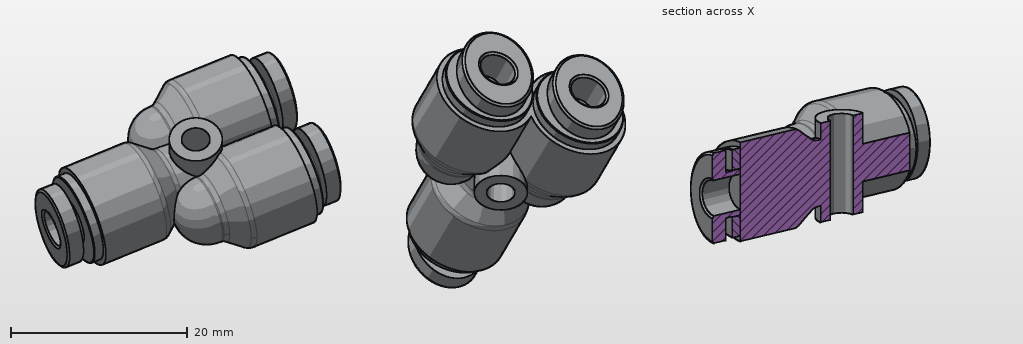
import cadquery as cq


overall_length = 32.0
branch_offset = 5.5
eyelet_y = 2.37

port_diameter = 11.9
port_radius = port_diameter / 2
neck_radius = 4.0
port_face_depth = 3.97
cone_start_depth = 12.0
cone_end_depth = 14.5
cone_blend_radius = 1.0
branch_end_depth = 15.0

eyelet_height = port_diameter
eyelet_diameter = 6.0
eyelet_bore_diameter = 3.2

collar_diameter = 10.6
collar_face_depth = 2.8
collar_chamfer = 0.1

flange_width = 8.65
flange_height = 10.85
flange_thickness = 1.95
flange_edge_depth = 0.2
flange_edge_inset = 0.3
stem_diameter = 5.5
bore_diameter = 4.2
bore_edge_depth = 0.2
bore_edge_inset = 0.3
stem_root_radius = 0.1


def cylinder_along_port(diameter, start_depth, end_depth):
    """Round bar on the port axis between two depths below the mouth."""
    return (
        cq.Workplane("XZ", origin=(0, -start_depth, 0))
        .circle(diameter / 2)
        .extrude(end_depth - start_depth)
    )


def place_at_ports(body):
    """Three copies of a port body: one for each branch and one for the inlet."""
    half_length = overall_length / 2
    copies = [body.translate((side * branch_offset, half_length, 0)) for side in (-1, 1)]
    inlet = body.rotate((0, 0, 0), (0, 0, 1), 180).translate((0, -half_length, 0))
    return copies + [inlet]


def make_port_shell(neck_end_depth):
    """Port barrel that tapers through a blended cone to a round neck."""
    profile = [
        (0, -port_face_depth),
        (port_radius, -port_face_depth),
        (port_radius, -cone_start_depth),
        (neck_radius, -cone_end_depth),
        (neck_radius, -neck_end_depth),
        (0, -neck_end_depth),
    ]
    shell = cq.Workplane("XY").polyline(profile).close().revolve(360, (0, 0, 0), (0, 1, 0))
    return shell.faces("%CONE").edges("%CIRCLE").fillet(cone_blend_radius)


def make_housing():
    """Two ball-ended branches and the inlet, joined around the mounting eyelet."""
    ball = cq.Workplane("XY").sphere(neck_radius).translate((0, -branch_end_depth, 0))
    branch = make_port_shell(branch_end_depth).union(ball)
    left_branch, right_branch, _ = place_at_ports(branch)

    inlet_neck_end = overall_length / 2 + eyelet_y
    inlet = place_at_ports(make_port_shell(inlet_neck_end))[-1]

    eyelet_plane = cq.Workplane("XY", origin=(0, eyelet_y, -eyelet_height / 2))
    eyelet = eyelet_plane.circle(eyelet_diameter / 2).extrude(eyelet_height)
    eyelet_bore = eyelet_plane.circle(eyelet_bore_diameter / 2).extrude(eyelet_height)

    return left_branch.union(right_branch).union(inlet).union(eyelet).cut(eyelet_bore)


def make_collar():
    """Ring on the port face that guides the stem of the release button."""
    ring = cylinder_along_port(collar_diameter, collar_face_depth, port_face_depth)
    ring = ring.faces(">Y").edges().chamfer(collar_chamfer)
    return ring.cut(cylinder_along_port(stem_diameter, collar_face_depth, port_face_depth))


def make_button():
    """Oval flange on a hollow stem that reaches the port face."""
    flange = (
        cq.Workplane("XZ")
        .ellipse(flange_width / 2, flange_height / 2)
        .extrude(flange_thickness)
        .faces(">Y")
        .edges()
        .chamfer(flange_edge_depth, flange_edge_inset)
    )
    stem = cylinder_along_port(stem_diameter, flange_thickness, port_face_depth)
    bore = cylinder_along_port(bore_diameter, 0, port_face_depth)
    button = flange.union(stem)
    stem_root = button.faces("%CYLINDER").edges(">Y")
    button = stem_root.fillet(stem_root_radius).cut(bore)
    return button.faces(">Y").edges("%CIRCLE").chamfer(bore_edge_inset, bore_edge_depth)


housing = make_housing()
collars = place_at_ports(make_collar())
buttons = place_at_ports(make_button())

result = cq.Compound.makeCompound(
    [housing.val()] + [collar.val() for collar in collars] + [button.val() for button in buttons]
)